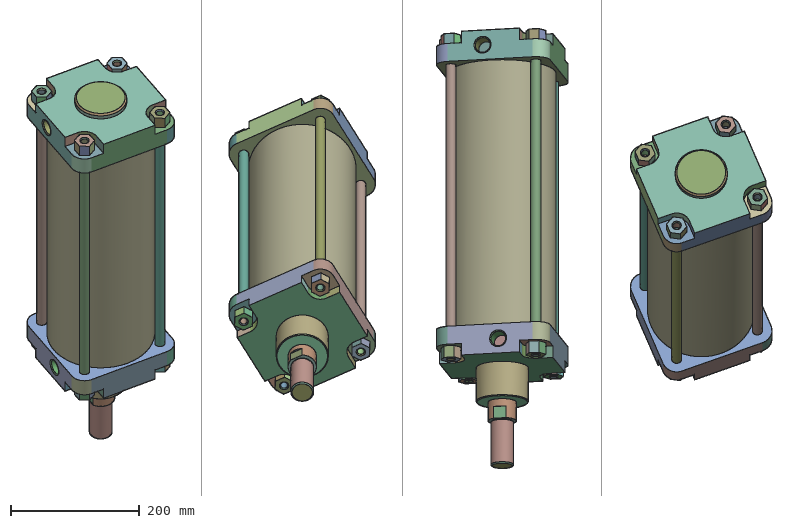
import cadquery as cq
import math


total_height = 687.0
neck_length = 55.0
collar_length = 12.0
wrench_flat_length = 18.5
thread_length = 72.0
cap_height = 47.5
boss_height = 9.0
neck_bottom = thread_length + wrench_flat_length + collar_length
front_cap_bottom = neck_bottom + neck_length
front_cap_top = front_cap_bottom + cap_height
rear_cap_top = total_height - boss_height
rear_cap_bottom = rear_cap_top - cap_height

cap_side = 180.0
tie_rod_offset = 67.0
corner_radius = cap_side / 2 - tie_rod_offset
pocket_depth = 18.5
pocket_radius = 21.0
boss_diameter = 81.0
boss_chamfer = 3.0
neck_chamfer = 1.5
port_diameter = 23.5
port_chamfer = 1.7
port_depth = 27.5
port_offset = 12.5

barrel_diameter = 167.5

tie_rod_diameter = 16.0
nut_sides = 6
nut_across_flats = 27.5
nut_across_corners = nut_across_flats / math.cos(math.pi / nut_sides)
nut_height = pocket_depth
bore_diameter = 11.0
bore_chamfer = 1.7
bore_depth = nut_height

rod_diameter = 44.0
rod_across_flats = 39.0
thread_diameter = 36.0
thread_chamfer = 2.0

corner_points = [
    (x_side * tie_rod_offset, y_side * tie_rod_offset)
    for x_side in (-1, 1)
    for y_side in (-1, 1)
]


def cylinder(diameter, bottom, height, x=0, y=0):
    """Vertical cylinder standing on the level `bottom`."""
    return cq.Workplane("XY", origin=(x, y, bottom)).circle(diameter / 2).extrude(height)


def corner_pocket(x, y, bottom):
    """Cutter for a nut pocket, open at the cap corner and rounded around the tie rod on the inside."""
    side = cap_side / 2
    center = tie_rod_offset - pocket_radius + side / 2
    x_center = math.copysign(center, x)
    y_center = math.copysign(center, y)
    inner_x = "<X" if x > 0 else ">X"
    inner_y = "<Y" if y > 0 else ">Y"
    return (
        cq.Workplane("XY", origin=(x_center, y_center, bottom))
        .rect(side, side)
        .extrude(pocket_depth)
        .edges("|Z").edges(inner_x).edges(inner_y)
        .fillet(pocket_radius)
    )


def countersunk_hole(mouth_center, inward, diameter, chamfer, depth):
    """Cutter for a flat-bottomed blind hole with a 45 degree countersunk mouth."""
    center = cq.Vector(*mouth_center)
    direction = cq.Vector(*inward)
    hole = cq.Solid.makeCylinder(diameter / 2, depth, center, direction)
    mouth = cq.Solid.makeCone(diameter / 2 + chamfer, diameter / 2, chamfer, center, direction)
    return cq.Workplane(hole).union(cq.Workplane(mouth))


def end_cap(bottom, pocket_bottom, port_x):
    """Square cap with rounded corners, nut pockets, tie rod holes and a port."""
    cap = (
        cq.Workplane("XY", origin=(0, 0, bottom))
        .rect(cap_side, cap_side)
        .extrude(cap_height)
        .edges("|Z")
        .fillet(corner_radius)
    )
    for x, y in corner_points:
        cap = cap.cut(corner_pocket(x, y, pocket_bottom))
        cap = cap.cut(cylinder(tie_rod_diameter, bottom, cap_height, x, y))
    port_mouth = (port_x, -cap_side / 2, bottom + cap_height / 2)
    return cap.cut(countersunk_hole(port_mouth, (0, 1, 0), port_diameter, port_chamfer, port_depth))


def make_rear_cap():
    """Upper cap with a low round boss on top."""
    cap = end_cap(rear_cap_bottom, rear_cap_top - pocket_depth, -port_offset)
    boss = cylinder(boss_diameter, rear_cap_top, boss_height).faces(">Z").chamfer(boss_chamfer)
    return cap.union(boss)


def make_front_cap():
    """Lower cap with the long neck that the piston rod leaves."""
    cap = end_cap(front_cap_bottom, front_cap_bottom, port_offset)
    neck = cylinder(boss_diameter, neck_bottom, neck_length).faces("<Z").chamfer(neck_chamfer)
    return cap.union(neck)


def make_barrel():
    """Plain round barrel between the two caps."""
    return cylinder(barrel_diameter, front_cap_top, rear_cap_bottom - front_cap_top)


def make_piston_rod():
    """Rod end with two wrench flats and a thread section chamfered at both ends."""
    rod = cylinder(rod_diameter, thread_length, neck_bottom - thread_length)
    cutter_side = 2 * rod_diameter
    flat_cutter = (
        cq.Workplane("XY", origin=(0, 0, thread_length))
        .rect(cutter_side, cutter_side)
        .rect(cutter_side, rod_across_flats)
        .extrude(wrench_flat_length)
    )
    thread = cylinder(thread_diameter, 0, thread_length).faces("<Z or >Z").chamfer(thread_chamfer)
    return rod.cut(flat_cutter).union(thread)


def make_tie_rod(x, y):
    """Tie rod through both caps, with a hexagon nut at each end."""
    rod_length = rear_cap_top - front_cap_bottom
    tie_rod = cylinder(tie_rod_diameter, front_cap_bottom, rod_length, x, y)
    for nut_bottom in (front_cap_bottom, rear_cap_top - nut_height):
        nut = (
            cq.Workplane("XY", origin=(x, y, nut_bottom))
            .polygon(nut_sides, nut_across_corners)
            .extrude(nut_height)
        )
        tie_rod = tie_rod.union(nut)
    for end_height, inward in ((front_cap_bottom, 1), (rear_cap_top, -1)):
        bore_mouth = (x, y, end_height)
        tie_rod = tie_rod.cut(
            countersunk_hole(bore_mouth, (0, 0, inward), bore_diameter, bore_chamfer, bore_depth)
        )
    return tie_rod


rear_cap = make_rear_cap()
front_cap = make_front_cap()
barrel = make_barrel()
piston_rod = make_piston_rod()
tie_rods = [make_tie_rod(x, y) for x, y in corner_points]

result = cq.Compound.makeCompound([
    rear_cap.val(),
    front_cap.val(),
    barrel.val(),
    piston_rod.val(),
    *[tie_rod.val() for tie_rod in tie_rods],
])